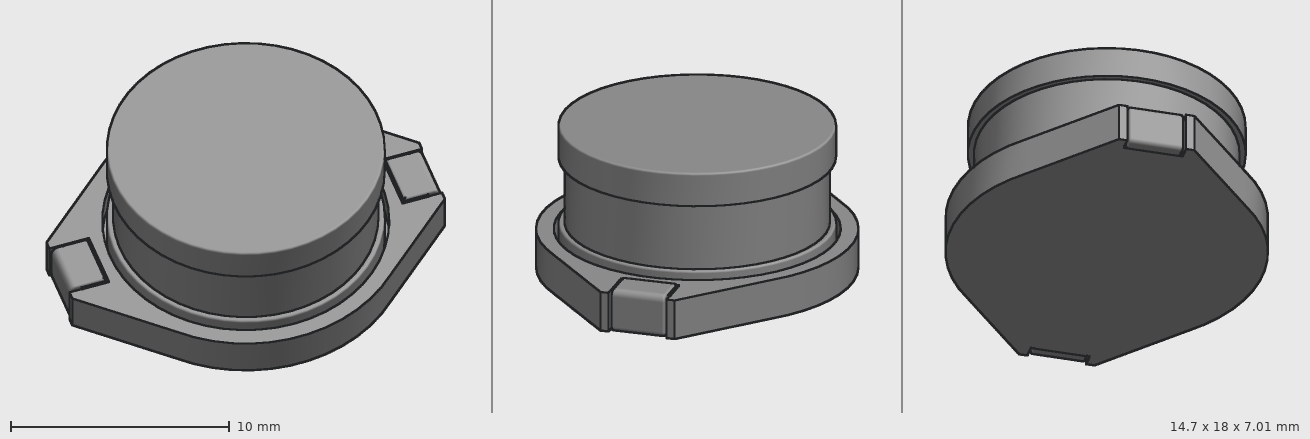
import cadquery as cq
import math

base_height = 1.9
base_radius = 14.73 / 2
base_half_length = 9.02
tip_width = 3.55
shoulder_angle = math.radians(45)

total_height = 7.01
flange_diameter = 12.7
flange_thickness = 1.59
flange_edge_radius = 0.1
winding_diameter = 12.13
post_diameter = 6.31
lower_flange_top = 2.24
upper_flange_bottom = total_height - flange_thickness
core_bottom = lower_flange_top - flange_thickness
core_recess_diameter = 13.1

clip_width = 2.56
clip_length = 1.77
clip_inset = 0.04
clip_top = base_height + 0.13
clip_wall_thickness = 0.6
clip_top_bend = 0.32
clip_bottom_bend = 0.22
clip_edge_radius = 0.1
clip_clearance = 0.1
slot_width = clip_width + 2 * clip_clearance
pocket_depth = 0.02
pocket_floor = base_height - pocket_depth
clip_outer_y = -base_half_length + clip_inset
clip_wall_inner_y = clip_outer_y + clip_wall_thickness
clip_leg_end_y = clip_outer_y + clip_length
slot_end_y = clip_leg_end_y + clip_clearance


def box(width, y_min, y_max, z_min, z_max):
    """Block centred on X = 0 between the given Y and Z limits."""
    block = cq.Workplane("XY").box(width, y_max - y_min, z_max - z_min, centered=(True, False, False))
    return block.translate((0, y_min, z_min))


def cylinder(diameter, z_min, z_max):
    """Upright cylinder on the Z axis."""
    return cq.Workplane("XY").workplane(offset=z_min).circle(diameter / 2).extrude(z_max - z_min)


def at_end(shape, end):
    """Turn a shape made for the -Y end to end 0 (-Y) or end 1 (+Y)."""
    return shape.rotate((0, 0, 0), (0, 0, 1), 180 * end)


def make_clip_slot():
    """Through slot for the clip wall, and a shallow pocket behind it for the top leg."""
    pocket = box(slot_width, -base_half_length, slot_end_y, pocket_floor, base_height)
    return pocket.union(box(slot_width, -base_half_length, clip_wall_inner_y, 0, base_height))


def make_base():
    """Plate with round sides and two pointed ends, recessed for the core and slotted for the clips."""
    tip_x = tip_width / 2
    shoulder_x = base_radius * math.cos(shoulder_angle)
    shoulder_y = base_radius * math.sin(shoulder_angle)
    plate = (
        cq.Workplane("XY")
        .moveTo(-tip_x, -base_half_length)
        .lineTo(tip_x, -base_half_length)
        .lineTo(shoulder_x, -shoulder_y)
        .threePointArc((base_radius, 0), (shoulder_x, shoulder_y))
        .lineTo(tip_x, base_half_length)
        .lineTo(-tip_x, base_half_length)
        .lineTo(-shoulder_x, shoulder_y)
        .threePointArc((-base_radius, 0), (-shoulder_x, -shoulder_y))
        .close()
        .extrude(base_height)
    )
    plate = plate.cut(cylinder(core_recess_diameter, core_bottom, base_height))
    for end in range(2):
        plate = plate.cut(at_end(make_clip_slot(), end))
    return plate


def make_core():
    """Drum core: two flanges with rounded top rims, joined by a post."""
    lower_flange = cylinder(flange_diameter, core_bottom, lower_flange_top)
    lower_flange = lower_flange.faces(">Z").edges().fillet(flange_edge_radius)
    upper_flange = cylinder(flange_diameter, upper_flange_bottom, total_height)
    upper_flange = upper_flange.faces(">Z").edges().fillet(flange_edge_radius)
    post = cylinder(post_diameter, lower_flange_top, upper_flange_bottom)
    return lower_flange.union(post).union(upper_flange)


def make_winding():
    """Coil filling the space around the post, between the flanges."""
    coil = cylinder(winding_diameter, lower_flange_top, upper_flange_bottom)
    return coil.cut(cylinder(post_diameter, lower_flange_top, upper_flange_bottom))


def make_terminal(end):
    """Clip with a wall down the end of the base and a thin leg on top, bends and edges rounded."""
    clip = box(clip_width, clip_outer_y, clip_leg_end_y, 0, clip_top)
    clip = clip.faces("<Y").edges(">Z").fillet(clip_top_bend)
    clip = clip.faces("<Y").edges("<Z").fillet(clip_bottom_bend)
    clip = clip.faces(">Z").edges("<X or >X or >Y").fillet(clip_edge_radius)
    under_leg = box(clip_width, clip_wall_inner_y, clip_leg_end_y, 0, pocket_floor)
    return at_end(clip.cut(under_leg), end)


base = make_base()
core = make_core()
winding = make_winding()
terminals = [make_terminal(end) for end in range(2)]

result = cq.Compound.makeCompound(
    [base.val(), core.val(), winding.val(), *[terminal.val() for terminal in terminals]]
)